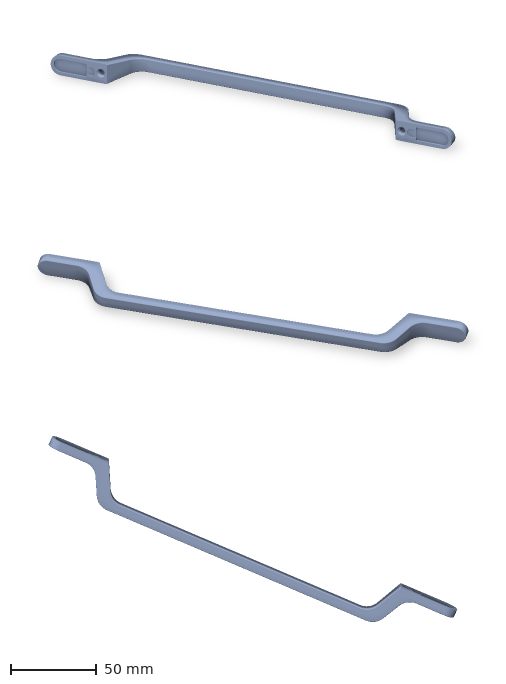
import cadquery as cq
import math

LENGTH = 257.0
DEPTH = 26.7
FRONT_HEIGHT = 12.5
BACK_HEIGHT = 7.2

FOOT_LENGTH = 36.0
FOOT_THICKNESS = 5.5
BAR_THICKNESS = 6.0
LEG_ANGLE = 63.0
LEG_WIDTH_ALONG_X = 9.3
BEND_RADIUS = 9.8
EDGE_ROUND = 0.5

RIM_WIDTH = 2.0
POCKET_END = 23.0
TAB_END = 28.3
TAB_HEIGHT = 5.5
TAB_CORNER_RADIUS = 2.0
POCKET_DEPTH = 1.3
TAB_DEPTH = 0.8

HOLE_FROM_END = 32.0
HOLE_DIAMETER = 3.3
COUNTERSINK_DIAMETER = 5.5
COUNTERSINK_DEPTH = 1.0
HOLE_DEPTH = 7.7

HALF_LENGTH = LENGTH / 2
FRONT_Y = -DEPTH / 2
BACK_Y = DEPTH / 2
END_RADIUS = FRONT_HEIGHT / 2


def leg_x(start_x, rise):
    """X on a sloping leg face that leaves the mounting plane at start_x."""
    return start_x + rise / math.tan(math.radians(LEG_ANGLE))


def handle_outline():
    """Bent strip with sharp corners, extruded through the full height."""
    inner_start = FOOT_LENGTH - HALF_LENGTH
    outer_start = inner_start - LEG_WIDTH_ALONG_X
    bar_rise = DEPTH - BAR_THICKNESS
    bar_front_y = BACK_Y - BAR_THICKNESS
    foot_back_y = FRONT_Y + FOOT_THICKNESS
    left_half = [
        (leg_x(inner_start, bar_rise), bar_front_y),
        (inner_start, FRONT_Y),
        (-HALF_LENGTH, FRONT_Y),
        (-HALF_LENGTH, foot_back_y),
        (leg_x(outer_start, FOOT_THICKNESS), foot_back_y),
        (leg_x(outer_start, DEPTH), BACK_Y),
    ]
    right_half = [(-x, y) for x, y in reversed(left_half)]
    strip = (
        cq.Workplane("XY")
        .polyline(left_half + right_half)
        .close()
        .extrude(FRONT_HEIGHT / 2, both=True)
    )
    bar_front_corner, _, _, _, foot_back_corner, bar_back_corner = left_half
    bends = [bar_front_corner, foot_back_corner, bar_back_corner]
    for x, y in bends:
        for bend_x in (x, -x):
            corner = cq.selectors.NearestToPointSelector((bend_x, y, 0))
            strip = strip.edges(corner).fillet(BEND_RADIUS)
    return strip


def envelope_section(y, height):
    """Outline at depth y: straight sides joined by round ends of fixed length."""
    half = height / 2
    straight_x = HALF_LENGTH - END_RADIUS
    bulge_x = straight_x + END_RADIUS * math.sqrt(0.5)
    bulge_z = half * math.sqrt(0.5)
    return (
        cq.Workplane("XZ", origin=(0, y, 0))
        .moveTo(-straight_x, half)
        .lineTo(straight_x, half)
        .threePointArc((bulge_x, bulge_z), (HALF_LENGTH, 0))
        .threePointArc((bulge_x, -bulge_z), (straight_x, -half))
        .lineTo(-straight_x, -half)
        .threePointArc((-bulge_x, -bulge_z), (-HALF_LENGTH, 0))
        .threePointArc((-bulge_x, bulge_z), (-straight_x, half))
        .close()
        .wire()
        .val()
    )


def tapered_envelope():
    """Round-ended block that narrows from the mounting face to the bar's back."""
    front = envelope_section(FRONT_Y, FRONT_HEIGHT)
    back = envelope_section(BACK_Y, BACK_HEIGHT)
    return cq.Workplane(cq.Solid.makeLoft([front, back], True))


def side_edges(handle):
    """Long edges of both tapered sides, except those around the mounting face."""
    top_edges = handle.faces(">Z").edges()
    bottom_edges = handle.faces("<Z").edges()
    return top_edges.add(bottom_edges).filter(lambda edge: edge.Center().y > FRONT_Y + EDGE_ROUND)


def foot_recess():
    """Round-ended pocket with a narrower tab, for the left foot."""
    radius = END_RADIUS - RIM_WIDTH
    arc_x = END_RADIUS - HALF_LENGTH
    pocket_end_x = POCKET_END - HALF_LENGTH
    pocket = (
        cq.Workplane("XZ", origin=(0, FRONT_Y, 0))
        .moveTo(pocket_end_x, -radius)
        .lineTo(arc_x, -radius)
        .threePointArc((arc_x - radius, 0), (arc_x, radius))
        .lineTo(pocket_end_x, radius)
        .close()
        .extrude(-POCKET_DEPTH)
    )
    tab_length = TAB_END - POCKET_END
    tab = (
        cq.Workplane("XZ", origin=(pocket_end_x + tab_length / 2, FRONT_Y, 0))
        .rect(tab_length, TAB_HEIGHT)
        .extrude(-TAB_DEPTH)
        .edges("|Y and >X")
        .fillet(TAB_CORNER_RADIUS)
    )
    return pocket.union(tab)


def screw_hole():
    """Blind countersunk hole with a 90-degree drill point, for the left foot."""
    radius = HOLE_DIAMETER / 2
    return (
        cq.Workplane("XY", origin=(HOLE_FROM_END - HALF_LENGTH, FRONT_Y, 0))
        .polyline([
            (0, 0),
            (COUNTERSINK_DIAMETER / 2, 0),
            (radius, COUNTERSINK_DEPTH),
            (radius, HOLE_DEPTH),
            (0, HOLE_DEPTH + radius),
        ])
        .close()
        .revolve(360, (0, 0, 0), (0, 1, 0))
    )


handle = handle_outline().intersect(tapered_envelope())
result = side_edges(handle).fillet(EDGE_ROUND)
for cutter in (foot_recess(), screw_hole()):
    result = result.cut(cutter).cut(cutter.mirror("YZ"))